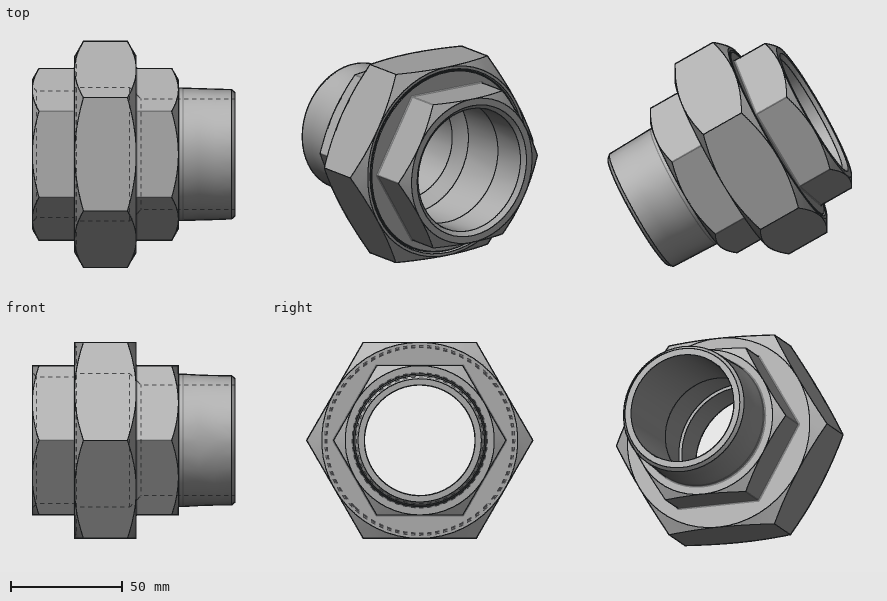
import cadquery as cq
import math

total_length = 91.0

hex_sides = 6
flats_per_corners = math.cos(math.pi / hex_sides)
nut_corners = 101.5
nut_flats = nut_corners * flats_per_corners
end_flats = 66.9
end_corner_radius = 0.3
corner_chamfer_angle = 30.0

nut_start = 19.0
nut_end = 46.6
nut_middle = (nut_start + nut_end) / 2
shoulder = 65.5

root_fillet = 0.4

groove_inner_radius = 41.6
groove_floor_radius = 42.0
groove_outer_radius = 42.6
groove_depth = 0.8

spigot_radius = 29.7
spigot_straight = 2.0
spigot_taper = 1 / 32
spigot_fillet = 0.4
spigot_chamfer_length = 1.6
spigot_chamfer_height = 1.4

mouth_radius = 30.4
mouth_chamfer = 1.9
thread_radius = mouth_radius - mouth_chamfer
thread_end = 19.1
relief_radius = 29.9
relief_end = 43.7
bore_radius = 24.8


def hexagon(flats, start, end):
    """Hexagonal prism along X between two positions."""
    corners = flats / flats_per_corners
    return cq.Workplane("YZ").workplane(offset=start).polygon(hex_sides, corners).extrude(end - start)


def revolve_about_x(points):
    """Solid of revolution about X from (x, radius) points."""
    return cq.Workplane("XY").polyline(points).close().revolve(360, (0, 0, 0), (1, 0, 0))


def corner_cone(flats, face, inward):
    """Cone that trims hexagon corners at a face; inward is the X direction into the hexagon."""
    reach = flats
    tip_radius = flats / 2
    rise = reach / math.tan(math.radians(corner_chamfer_angle))
    far = face + inward * reach
    return revolve_about_x([(face, 0), (face, tip_radius), (far, tip_radius + rise), (far, 0)])


nut = hexagon(nut_flats, nut_start, nut_end)
nut = nut.intersect(corner_cone(nut_flats, nut_start, 1))
nut = nut.intersect(corner_cone(nut_flats, nut_end, -1))

groove = revolve_about_x([
    (nut_start, groove_inner_radius),
    (nut_start, groove_outer_radius),
    (nut_start + groove_depth, groove_floor_radius),
    (nut_start + groove_depth, groove_inner_radius),
])
nut = nut.cut(groove)

female_hex = hexagon(end_flats, 0, nut_middle).edges("|X").fillet(end_corner_radius)
female_hex = female_hex.intersect(corner_cone(end_flats, 0, 1))

male_hex = hexagon(end_flats, nut_middle, shoulder).edges("|X").fillet(end_corner_radius)
male_hex = male_hex.intersect(corner_cone(end_flats, shoulder, -1))

body = nut.union(female_hex).union(male_hex)
for face_x in (nut_start, nut_end):
    root_outline = cq.selectors.BoxSelector(
        (face_x - root_fillet, -groove_inner_radius, -end_flats / 2 - root_fillet),
        (face_x + root_fillet, groove_inner_radius, end_flats / 2 + root_fillet),
        boundingbox=True,
    )
    body = body.edges(root_outline).fillet(root_fillet)

taper_start = shoulder + spigot_straight
taper_end = total_length - spigot_chamfer_length
taper_end_radius = spigot_radius - (taper_end - taper_start) * spigot_taper
spigot = (
    cq.Workplane("XY")
    .moveTo(shoulder, 0)
    .lineTo(shoulder, spigot_radius + spigot_fillet)
    .radiusArc((shoulder + spigot_fillet, spigot_radius), -spigot_fillet)
    .lineTo(taper_start, spigot_radius)
    .lineTo(taper_end, taper_end_radius)
    .lineTo(total_length, taper_end_radius - spigot_chamfer_height)
    .lineTo(total_length, 0)
    .close()
    .revolve(360, (0, 0, 0), (1, 0, 0))
)

cone_end = relief_end + relief_radius - bore_radius
bore = revolve_about_x([
    (0, 0),
    (0, mouth_radius),
    (mouth_chamfer, thread_radius),
    (thread_end, thread_radius),
    (thread_end, relief_radius),
    (relief_end, relief_radius),
    (cone_end, bore_radius),
    (total_length, bore_radius),
    (total_length, 0),
])

result = body.union(spigot).cut(bore)